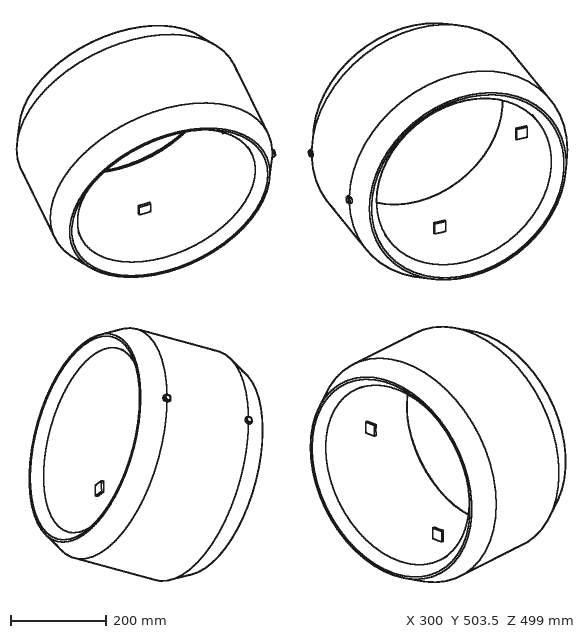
import cadquery as cq

length = 300.0
outer_radius = 499.0 / 2
bore_radius = 400.0 / 2
end_outer_radius = 225.0
lip_width = 5.0
end_inner_radius = end_outer_radius - lip_width
outer_taper_length = 50.0
inner_taper_length = 20.0

tab_width = 25.0
tab_height = 24.5
tab_thickness = 5.0
tab_embed = 2.5
tab_count = 4

overall_width = 503.5
fitting_reach = overall_width - outer_radius
fitting_spacing = 200.0
base_diameter = 16.0
head_diameter = 12.0
head_height = 3.0
base_embed = 10.0


def make_ring():
    half = length / 2
    outer_flat = half - outer_taper_length
    inner_flat = half - inner_taper_length
    profile = [
        (-half, end_inner_radius),
        (-half, end_outer_radius),
        (-outer_flat, outer_radius),
        (outer_flat, outer_radius),
        (half, end_outer_radius),
        (half, end_inner_radius),
        (inner_flat, bore_radius),
        (-inner_flat, bore_radius),
    ]
    return cq.Workplane("XY").polyline(profile).close().revolve(360, (0, 0, 0), (1, 0, 0))


def make_tab(angle):
    inner_radius = bore_radius - tab_height
    root_radius = bore_radius + tab_embed
    block = cq.Workplane("XY").box(tab_thickness, tab_width, root_radius)
    block = block.translate((0, 0, root_radius / 2))
    band = (
        cq.Workplane("YZ")
        .circle(root_radius)
        .circle(inner_radius)
        .extrude(tab_thickness / 2, both=True)
    )
    return block.intersect(band).rotate((0, 0, 0), (1, 0, 0), angle)


def cylinder_along_y(x, diameter, start, end):
    plane = cq.Plane(origin=(x, start, 0), xDir=(1, 0, 0), normal=(0, 1, 0))
    return cq.Workplane(plane).circle(diameter / 2).extrude(end - start)


def make_fitting(x):
    base_top = fitting_reach - head_height
    base = cylinder_along_y(x, base_diameter, outer_radius - base_embed, base_top)
    head = cylinder_along_y(x, head_diameter, base_top, fitting_reach)
    return base.union(head)


result = make_ring()
for index in range(tab_count):
    result = result.union(make_tab(index * 360 / tab_count))
for x in (-fitting_spacing / 2, fitting_spacing / 2):
    result = result.union(make_fitting(x))